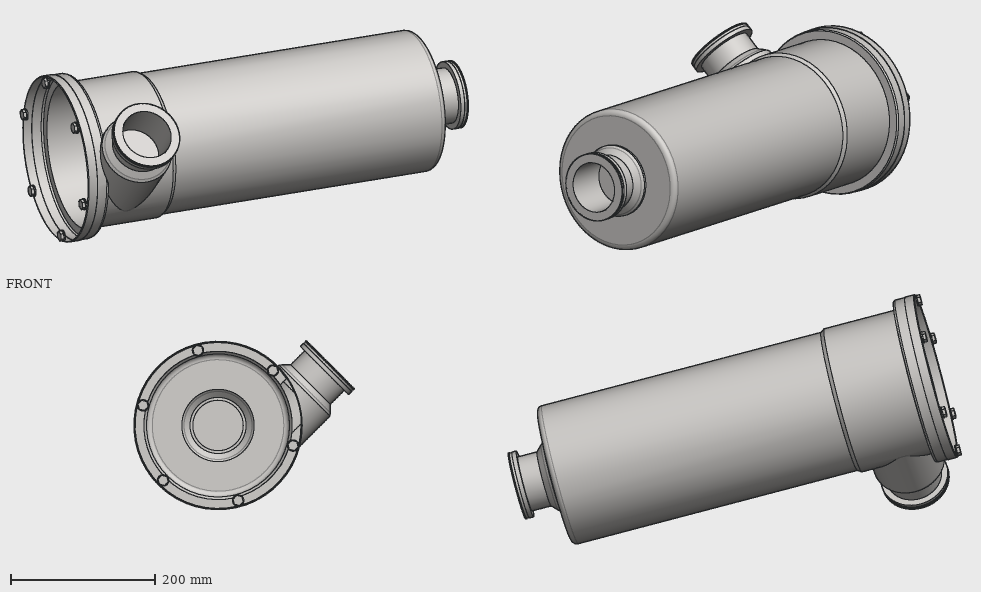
import cadquery as cq
import math

total_length = 607.5

bolt_height = 6.0
bolt_head_width = 14.5
washer_diameter = 16.0
washer_thickness = 2.0
bolt_count = 6
bolt_circle_radius = 107.5
first_bolt_angle = 45.0
cover_diameter = 233.0
cover_thickness = 14.0
cover_chamfer = 1.0
flange_diameter = 232.0
flange_thickness = 17.0
flange_bevel_depth = 1.0
flange_bevel_length = 3.0

sleeve_diameter = 205.0
sleeve_end_y = 145.0
sleeve_taper_length = 5.5
body_diameter = 198.0
body_end_y = 553.5
shoulder_radius = 8.0

rim_diameter = 95.0
rim_thickness = 11.5
rim_groove_diameter = 93.5
rim_groove_start = 2.0
rim_groove_end = 5.5
neck_diameter = 78.0
neck_length = 39.0
cone_diameter = 94.0
pipe_diameter = 100.0
pipe_bevel_length = 3.5
nozzle_overlap = 6.0
bore_diameter = 70.0
bore_depth = 62.5

side_nozzle_angle = 45.0
side_nozzle_y = 78.0
side_nozzle_reach = 169.5
side_nozzle_offset = 50.5

cover_face_y = bolt_height
flange_face_y = cover_face_y + cover_thickness
flange_back_y = flange_face_y + flange_thickness


def make_vessel():
    """Cover, flange, sleeve and body as one revolved solid."""
    cover_radius = cover_diameter / 2
    flange_radius = flange_diameter / 2
    sleeve_radius = sleeve_diameter / 2
    body_radius = body_diameter / 2
    corner = shoulder_radius * (1 - math.sqrt(0.5))
    profile = (
        cq.Workplane("XY")
        .moveTo(0, cover_face_y)
        .lineTo(cover_radius - cover_chamfer, cover_face_y)
        .lineTo(cover_radius, cover_face_y + cover_chamfer)
        .lineTo(cover_radius, flange_face_y)
        .lineTo(flange_radius, flange_face_y)
        .lineTo(flange_radius, flange_back_y - flange_bevel_length)
        .lineTo(flange_radius - flange_bevel_depth, flange_back_y)
        .lineTo(sleeve_radius, flange_back_y)
        .lineTo(sleeve_radius, sleeve_end_y - sleeve_taper_length)
        .lineTo(body_radius, sleeve_end_y)
        .lineTo(body_radius, body_end_y - shoulder_radius)
        .threePointArc(
            (body_radius - corner, body_end_y - corner),
            (body_radius - shoulder_radius, body_end_y),
        )
        .lineTo(0, body_end_y)
        .close()
    )
    return profile.revolve(360, (0, 0, 0), (0, 1, 0))


def make_nozzle(length):
    """Nozzle along +Z, open face at Z = 0, reaching back to Z = -length."""
    rim_radius = rim_diameter / 2
    groove_radius = rim_groove_diameter / 2
    neck_radius = neck_diameter / 2
    cone_radius = cone_diameter / 2
    pipe_radius = pipe_diameter / 2
    cone_end = neck_length + cone_radius - neck_radius
    outline = (
        cq.Workplane("XZ")
        .moveTo(0, 0)
        .lineTo(rim_radius, 0)
        .lineTo(rim_radius, -rim_groove_start)
        .lineTo(groove_radius, -rim_groove_start)
        .lineTo(groove_radius, -rim_groove_end)
        .lineTo(rim_radius, -rim_groove_end)
        .lineTo(rim_radius, -rim_thickness)
        .lineTo(neck_radius, -rim_thickness)
        .lineTo(neck_radius, -neck_length)
        .lineTo(cone_radius, -cone_end)
        .lineTo(pipe_radius, -cone_end - pipe_bevel_length)
        .lineTo(pipe_radius, -length)
        .lineTo(0, -length)
        .close()
    )
    return outline.revolve(360, (0, 0, 0), (0, 1, 0))


def make_bore():
    """Blind bore of a nozzle whose open face is at Z = 0, facing +Z."""
    return cq.Workplane("XY").circle(bore_diameter / 2).extrude(-bore_depth)


def to_end_nozzle(shape):
    return shape.rotate((0, 0, 0), (1, 0, 0), -90).translate((0, total_length, 0))


def to_side_nozzle(shape):
    placed = shape.translate((side_nozzle_offset, side_nozzle_y, side_nozzle_reach))
    return placed.rotate((0, 0, 0), (0, 1, 0), side_nozzle_angle)


def make_bolt():
    """Washer and hexagonal head on the cover face, a head corner along +X."""
    head = cq.Workplane("XZ").polygon(6, bolt_head_width).extrude(-cover_face_y)
    washer = (
        cq.Workplane("XZ", origin=(0, cover_face_y, 0))
        .circle(washer_diameter / 2)
        .extrude(washer_thickness)
    )
    return head.union(washer)


vessel = make_vessel()
vessel = vessel.union(to_end_nozzle(make_nozzle(total_length - body_end_y + nozzle_overlap)))
vessel = vessel.union(to_side_nozzle(make_nozzle(side_nozzle_reach)))

bolt = make_bolt().translate((bolt_circle_radius, 0, 0))
for index in range(bolt_count):
    bolt_angle = first_bolt_angle + index * 360 / bolt_count
    vessel = vessel.union(bolt.rotate((0, 0, 0), (0, 1, 0), -bolt_angle))

result = vessel.cut(to_end_nozzle(make_bore())).cut(to_side_nozzle(make_bore()))